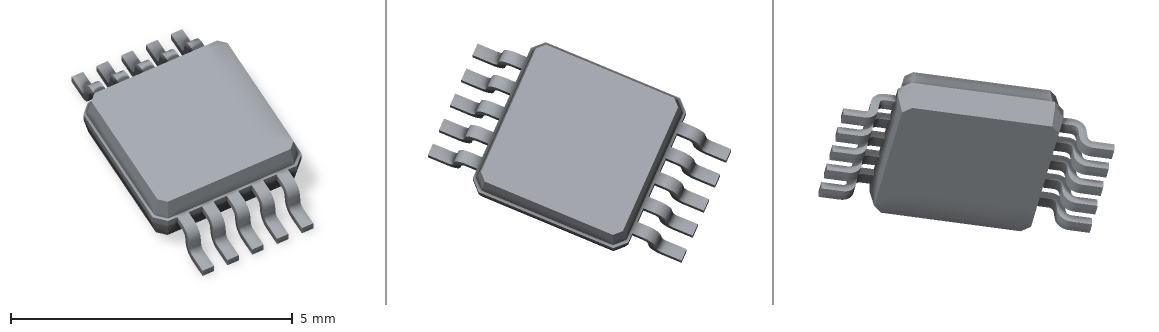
import cadquery as cq
import math

lead_span = 4.9
top_height = 1.0

body_width = 3.0
corner_chamfer = 0.2
upper_corner_chamfer = 0.18
standoff = 0.1
draft_angle = 12.0
ledge = 0.05

lead_thickness = 0.15
lead_width = 0.23
lead_pitch = 0.5
leads_per_side = 5
foot_length = 0.38
inner_bend_radius = 0.1
bend_angle = 82.0

marker_diameter = 0.5
marker_offset = 0.665
marker_depth = 0.05

band_bottom = (standoff + top_height - lead_thickness) / 2
band_top = band_bottom + lead_thickness


def body_slab(width, chamfer, z, height, taper=0.0):
    """Chamfered square extruded from z; a negative height extrudes downwards."""
    outline = cq.Sketch().rect(width, width).vertices().chamfer(chamfer)
    return cq.Workplane("XY", origin=(0, 0, z)).placeSketch(outline).extrude(height, taper=taper)


def make_body():
    band = body_slab(body_width, corner_chamfer, band_bottom, lead_thickness)
    lower = body_slab(body_width, corner_chamfer, band_bottom, standoff - band_bottom, draft_angle)
    upper = body_slab(
        body_width - 2 * ledge,
        upper_corner_chamfer,
        band_top,
        top_height - band_top,
        draft_angle,
    )
    return band.union(lower).union(upper)


def make_lead():
    """Gull-wing lead on the -X side, centred on Y = 0."""
    bend = math.radians(bend_angle)
    outer_bend_radius = inner_bend_radius + lead_thickness
    tip_x = -lead_span / 2
    foot_end_x = tip_x + foot_length
    shoulder_end_x = -body_width / 2 + ledge

    bend_radii = inner_bend_radius + outer_bend_radius
    leg_length = (band_bottom - bend_radii * (1 - math.cos(bend))) / math.sin(bend)
    shoulder_start_x = foot_end_x + bend_radii * math.sin(bend) + leg_length * math.cos(bend)

    lower_center_z = lead_thickness + inner_bend_radius
    upper_center_z = band_bottom - inner_bend_radius

    def lower_bend(radius, angle):
        return (foot_end_x + radius * math.sin(angle), lower_center_z - radius * math.cos(angle))

    def upper_bend(radius, angle):
        return (shoulder_start_x - radius * math.sin(angle), upper_center_z + radius * math.cos(angle))

    profile = (
        cq.Workplane("XZ")
        .moveTo(tip_x, 0)
        .lineTo(foot_end_x, 0)
        .threePointArc(lower_bend(outer_bend_radius, bend / 2), lower_bend(outer_bend_radius, bend))
        .lineTo(*upper_bend(inner_bend_radius, bend))
        .threePointArc(upper_bend(inner_bend_radius, bend / 2), upper_bend(inner_bend_radius, 0))
        .lineTo(shoulder_end_x, band_bottom)
        .lineTo(shoulder_end_x, band_top)
        .lineTo(shoulder_start_x, band_top)
        .threePointArc(upper_bend(outer_bend_radius, bend / 2), upper_bend(outer_bend_radius, bend))
        .lineTo(*lower_bend(inner_bend_radius, bend))
        .threePointArc(lower_bend(inner_bend_radius, bend / 2), lower_bend(inner_bend_radius, 0))
        .lineTo(tip_x, lead_thickness)
        .close()
    )
    return profile.extrude(lead_width / 2, both=True)


def make_marker():
    return (
        cq.Workplane("XY", origin=(-marker_offset, marker_offset, top_height - marker_depth))
        .circle(marker_diameter / 2)
        .extrude(marker_depth)
    )


result = make_body().union(make_marker(), clean=False)

left_lead = make_lead()
right_lead = left_lead.mirror("YZ")
for index in range(leads_per_side):
    lead_y = (index - (leads_per_side - 1) / 2) * lead_pitch
    for lead in (left_lead, right_lead):
        placed_lead = lead.translate((0, lead_y, 0))
        result = result.cut(placed_lead, clean=False).union(placed_lead, clean=False)